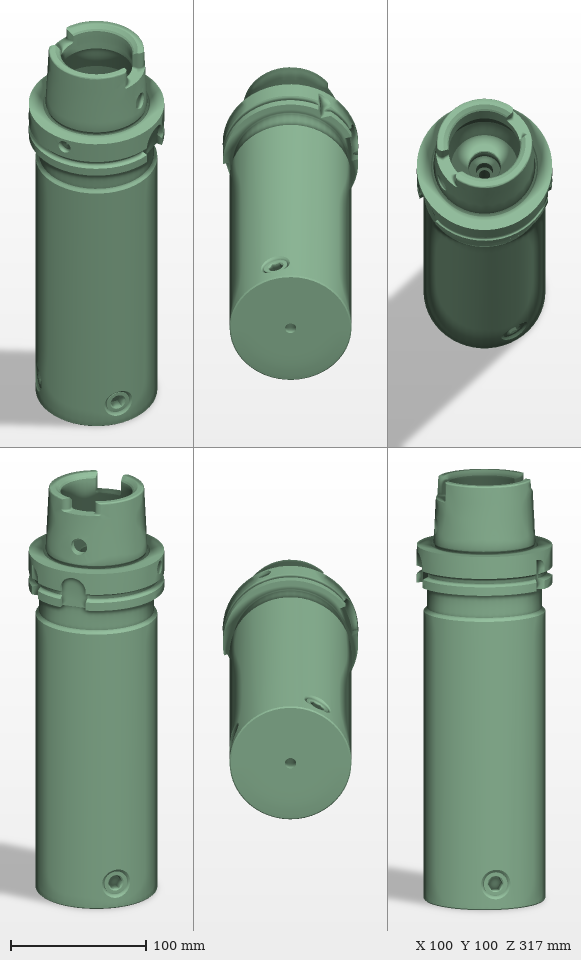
import cadquery as cq
import math

total_height = 317.0
taper_height = 50.0
flange_thickness = 29.0
face_to_shoulder = 47.2
flange_top = total_height - taper_height
flange_bottom = flange_top - flange_thickness
shoulder_top = flange_top - face_to_shoulder

shank_radius = 45.0
neck_radius = 42.5
shank_chamfer = 1.0
flange_radius = 50.0
taper_base_radius = 37.7
taper_rate = 0.05
taper_top_radius = taper_base_radius - taper_rate * taper_height
taper_top_fillet = 1.3

groove_floor_radius = 46.3
groove_top_depth = 16.5
groove_floor_start = 18.0
groove_floor_end = 21.0
groove_bottom_depth = 22.8
groove_fillet = 1.0
neck_fillet = 1.0

relief_outer_radius = 39.5
relief_floor_radius = 38.7
relief_inner_radius = 36.8
relief_depth = 1.0
relief_rise = 1.5

entry_mouth_radius = 30.5
entry_cone_radius = 27.5
entry_cone_depth = 2.2
entry_radius = 26.5
entry_step_depth = 3.5
entry_depth = 19.5
cavity_radius = 31.5
cavity_depth = taper_height
cavity_floor_radius = 24.7
cavity_cone_height = 10.5
seat_radius = 11.7
seat_chamfer = 0.5
seat_depth = 9.5
pilot_radius = 6.3
pilot_depth = 9.5
coolant_radius = 4.0

drive_slot_width = 20.0
drive_slot_depths = {-1: 9.8, 1: 15.0}
drive_corner_radius = 3.8
drive_floor_fillet = 1.5
cross_hole_radius = 6.3
cross_hole_depth = 34.5

keyway_widths = {-1: 20.0, 1: 23.0}
keyway_floor = 44.0
keyway_top_depth = 4.5
notch_floor = 31.7
notch_radius = 7.5
notch_center_y = 39.0
notch_center_depth = 13.3
chip_hole_radius = 5.0
chip_hole_depth = 4.8
chip_hole_drop = 7.0
vent_radius = 1.1
vent_depth = 1.5

screw_angles = (90, 220, 320)
screw_height = 19.3
screw_radius = 9.0
screw_length = 16.0
screw_recess = 2.0
mouth_chamfer = 2.2
socket_width = 9.8
socket_depth = 8.0
countersink_radius = 6.0

cut_margin = 6.3


def make_outer_shape():
    """Shank, neck, grooved flange and taper as one revolved solid."""
    neck_fillet_offset = neck_fillet * (1 - math.sqrt(0.5))
    profile = (
        cq.Workplane("XZ")
        .moveTo(0, 0)
        .lineTo(shank_radius - shank_chamfer, 0)
        .lineTo(shank_radius, shank_chamfer)
        .lineTo(shank_radius, shoulder_top - (shank_radius - neck_radius))
        .lineTo(neck_radius, shoulder_top)
        .lineTo(neck_radius, flange_bottom - neck_fillet)
        .threePointArc(
            (neck_radius + neck_fillet_offset, flange_bottom - neck_fillet_offset),
            (neck_radius + neck_fillet, flange_bottom),
        )
        .lineTo(flange_radius, flange_bottom)
        .lineTo(flange_radius, flange_top - groove_bottom_depth)
        .lineTo(groove_floor_radius, flange_top - groove_floor_end)
        .lineTo(groove_floor_radius, flange_top - groove_floor_start)
        .lineTo(flange_radius, flange_top - groove_top_depth)
        .lineTo(flange_radius, flange_top)
        .lineTo(relief_outer_radius, flange_top)
        .lineTo(relief_floor_radius, flange_top - relief_depth)
        .lineTo(relief_inner_radius, flange_top - relief_depth)
        .lineTo(relief_inner_radius, flange_top)
        .lineTo(taper_base_radius - taper_rate * relief_rise, flange_top + relief_rise)
        .lineTo(taper_top_radius, total_height)
        .lineTo(0, total_height)
        .close()
    )
    solid = profile.revolve(360, (0, 0, 0), (0, 1, 0))
    groove_corner = cq.selectors.NearestToPointSelector((0, 0, flange_top - groove_floor_start))
    solid = solid.edges(groove_corner).fillet(groove_fillet)
    return solid.faces(">Z").edges().fillet(taper_top_fillet)


def make_bore():
    """Stepped bore: chamfered entry, undercut cavity with a conical floor edge, seat, pilot and coolant hole."""
    cavity_floor = total_height - cavity_depth
    seat_floor = cavity_floor - seat_depth
    pilot_floor = seat_floor - pilot_depth
    profile = (
        cq.Workplane("XZ")
        .moveTo(0, 0)
        .lineTo(coolant_radius, 0)
        .lineTo(coolant_radius, pilot_floor)
        .lineTo(pilot_radius, pilot_floor)
        .lineTo(pilot_radius, seat_floor)
        .lineTo(seat_radius, seat_floor)
        .lineTo(seat_radius, cavity_floor - seat_chamfer)
        .lineTo(seat_radius + seat_chamfer, cavity_floor)
        .lineTo(cavity_floor_radius, cavity_floor)
        .lineTo(cavity_radius, cavity_floor + cavity_cone_height)
        .lineTo(cavity_radius, total_height - entry_depth)
        .lineTo(entry_radius, total_height - entry_depth)
        .lineTo(entry_radius, total_height - entry_step_depth)
        .lineTo(entry_cone_radius, total_height - entry_cone_depth)
        .lineTo(entry_mouth_radius, total_height)
        .lineTo(0, total_height)
        .close()
    )
    return profile.revolve(360, (0, 0, 0), (0, 1, 0))


def make_drive_slot(side, depth):
    """Cutter for a slot in the taper end whose walls round outward onto the taper."""
    half_width = drive_slot_width / 2
    arc_y = half_width + drive_corner_radius
    arc_reach = taper_top_radius - drive_corner_radius
    arc_x = math.sqrt(arc_reach**2 - arc_y**2)
    ray = taper_top_radius / arc_reach
    tangent = (arc_x * ray, arc_y * ray)
    sweep_mid = (math.atan2(arc_y, arc_x) - math.pi / 2) / 2
    mid = (
        arc_x + drive_corner_radius * math.cos(sweep_mid),
        arc_y + drive_corner_radius * math.sin(sweep_mid),
    )
    far = flange_radius
    inner = entry_radius - cut_margin
    outline = (
        cq.Workplane("XY", origin=(0, 0, total_height - depth))
        .moveTo(inner, -half_width)
        .lineTo(arc_x, -half_width)
        .threePointArc((mid[0], -mid[1]), (tangent[0], -tangent[1]))
        .lineTo(far, -tangent[1])
        .lineTo(far, tangent[1])
        .lineTo(*tangent)
        .threePointArc(mid, (arc_x, half_width))
        .lineTo(inner, half_width)
        .close()
    )
    cutter = outline.extrude(depth + cut_margin)
    cutter = cutter.faces("<Z").edges("not(<X or >X)").fillet(drive_floor_fillet)
    return cutter if side > 0 else cutter.mirror("YZ")


def make_cross_hole():
    """Cutter for the hole across the taper along X."""
    length = 2 * flange_radius
    center = (-flange_radius, 0, total_height - cross_hole_depth)
    return cq.Workplane("YZ", origin=center).circle(cross_hole_radius).extrude(length)


def make_arched_slot(center_y, radius, arch_height, floor_distance):
    """Cutter with a round upper end, open below the flange, with a flat floor facing -X."""
    bottom = flange_bottom
    center = (-floor_distance, center_y, arch_height)
    reach = -(flange_radius + cut_margin - floor_distance)
    arch = cq.Workplane("YZ", origin=center).circle(radius).extrude(reach)
    straight = (
        cq.Workplane("YZ", origin=center)
        .rect(2 * radius, bottom - arch_height, centered=(True, False))
        .extrude(reach)
    )
    return arch.union(straight)


def make_chip_hole():
    """Cutter for the blind data-chip hole on the -Y side, with a small vent in its floor."""
    start = (0, -flange_radius - cut_margin, flange_top - chip_hole_drop)
    hole_length = cut_margin + chip_hole_depth
    hole = cq.Workplane("XZ", origin=start).circle(chip_hole_radius).extrude(-hole_length)
    vent = cq.Workplane("XZ", origin=start).circle(vent_radius).extrude(-hole_length - vent_depth)
    return hole.union(vent)


def place_at_screw(shape, angle):
    """Turn a shape built along +X at the screw height to the given angle about the axis."""
    return shape.rotate((0, 0, 0), (0, 0, 1), angle)


def make_screw_hole():
    """Cutter for a blind screw hole, along +X."""
    bottom = shank_radius - screw_recess - screw_length
    start = cq.Workplane("YZ", origin=(bottom, 0, screw_height))
    return start.circle(screw_radius).extrude(screw_recess + screw_length + cut_margin)


def make_screw():
    """Clamping screw with a hexagon socket in its outer end, along +X."""
    outer = shank_radius - screw_recess
    end = cq.Workplane("YZ", origin=(outer, 0, screw_height))
    screw = end.circle(screw_radius).extrude(-screw_length)
    socket = end.polygon(6, socket_width / math.cos(math.pi / 6)).extrude(-socket_depth)
    sink_tip = outer - countersink_radius
    countersink = (
        cq.Workplane("XY", origin=(0, 0, screw_height))
        .moveTo(sink_tip, 0)
        .lineTo(outer, countersink_radius)
        .lineTo(outer, 0)
        .close()
        .revolve(360, (0, 0, 0), (1, 0, 0))
    )
    return screw.cut(socket).cut(countersink)


def make_holder():
    """The tool holder with every bore and cut-out."""
    holder = make_outer_shape().cut(make_bore())
    for side, depth in drive_slot_depths.items():
        holder = holder.cut(make_drive_slot(side, depth))
    holder = holder.cut(make_cross_hole())

    for side, width in keyway_widths.items():
        keyway_arch = flange_top - keyway_top_depth - width / 2
        keyway = make_arched_slot(0, width / 2, keyway_arch, keyway_floor)
        holder = holder.cut(keyway if side < 0 else keyway.mirror("YZ"))

    notch_arch = flange_top - notch_center_depth
    notch = make_arched_slot(notch_center_y, notch_radius, notch_arch, notch_floor)
    holder = holder.cut(notch).cut(make_chip_hole())

    for angle in screw_angles:
        holder = holder.cut(place_at_screw(make_screw_hole(), angle))
        mouth_point = place_at_screw(cq.Vertex.makeVertex(shank_radius, 0, screw_height), angle)
        mouth = cq.selectors.NearestToPointSelector(mouth_point.toTuple())
        holder = holder.edges(mouth).chamfer(mouth_chamfer)
    return holder


holder = make_holder()
screws = [place_at_screw(make_screw(), angle) for angle in screw_angles]

result = cq.Compound.makeCompound([holder.val(), *[screw.val() for screw in screws]])